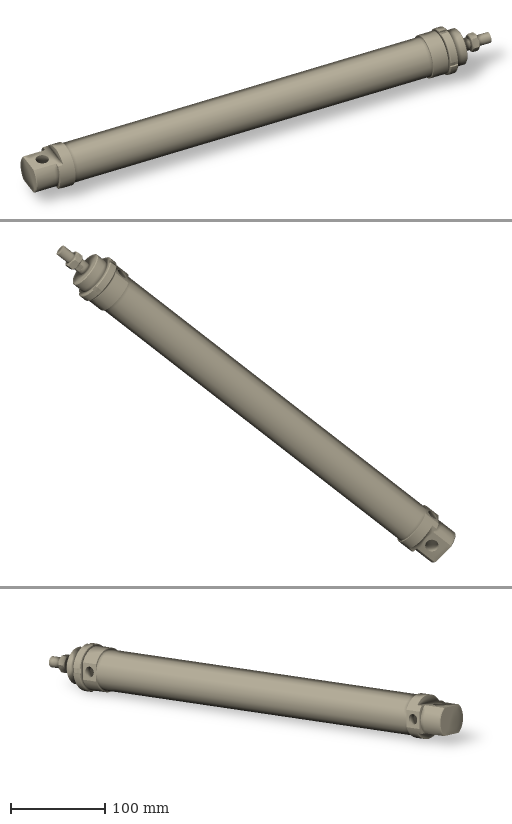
import cadquery as cq
import math

TOTAL_LENGTH = 544.0

CLEVIS_DIAMETER = 40.0
CLEVIS_THICKNESS = 30.5
CLEVIS_FLAT_END_Y = 32.0
PIN_HOLE_DIAMETER = 14.0
PIN_HOLE_Y = 16.5

BARREL_DIAMETER = 44.0
CAP_DIAMETER = 48.0
CAP_LENGTH = 18.0
REAR_CAP_Y = 26.0
FRONT_CAP_Y = 467.0
FRONT_CAP_END_Y = FRONT_CAP_Y + CAP_LENGTH

PORT_FLAT_X = -BARREL_DIAMETER / 2
PORT_DIAMETER = 11.5
PORT_DEPTH = 8.0

END_CHAMFER = 0.8

COLLAR_DIAMETER = 40.0
COLLAR_END_Y = 509.0
RELIEF_DIAMETER = 38.5
RELIEF_END_Y = 486.5

RING_NUT_DIAMETER = 51.5
RING_NUT_Y = RELIEF_END_Y
RING_NUT_WIDTH = 9.0
RING_SLOT_COUNT = 4
RING_SLOT_WIDTH = 5.5
RING_SLOT_DEPTH = 2.0
RING_CHAMFER = 0.8

ROD_DIAMETER = 14.0
THREAD_DIAMETER = 12.0
NECK_DIAMETER = 10.5
ROD_SHOULDER_Y = 519.0
WRENCH_FLAT_Y = 514.0
WRENCH_FLAT_WIDTH = THREAD_DIAMETER

HEX_SIDES = 6
HEX_NUT_ACROSS_FLATS = 18.0
HEX_NUT_Y = 520.5
HEX_NUT_WIDTH = 8.0
HEX_CHAMFER_ANGLE = 45.0


def cylinder(diameter, start_y, end_y):
    """Solid cylinder on the Y axis between two positions."""
    plane = cq.Workplane("XZ", origin=(0, start_y, 0))
    return plane.circle(diameter / 2).extrude(start_y - end_y)


def box(x_range, y_range, z_range):
    """Box given by its lower and upper limit along each axis."""
    lows, highs = zip(x_range, y_range, z_range)
    size = [high - low for low, high in zip(lows, highs)]
    return cq.Workplane("XY").box(*size, centered=False).translate(lows)


def cap_with_port(start_y):
    """End cap with a flat on its -X side and a blind port in the flat."""
    end_y = start_y + CAP_LENGTH
    cap = cylinder(CAP_DIAMETER, start_y, end_y)
    flat_cut = box(
        (-CAP_DIAMETER, PORT_FLAT_X), (start_y, end_y), (-CAP_DIAMETER, CAP_DIAMETER)
    )
    port_plane = cq.Workplane("YZ", origin=(PORT_FLAT_X, start_y + CAP_LENGTH / 2, 0))
    port = port_plane.circle(PORT_DIAMETER / 2).extrude(PORT_DEPTH)
    return cap.cut(flat_cut).cut(port)


def cut_clevis(housing):
    """Flatten the rear end on +Z and -Z and drill the pin hole through it."""
    for low, high in ((CLEVIS_THICKNESS / 2, CAP_DIAMETER), (-CAP_DIAMETER, -CLEVIS_THICKNESS / 2)):
        housing = housing.cut(
            box((-CAP_DIAMETER, CAP_DIAMETER), (0, CLEVIS_FLAT_END_Y), (low, high))
        )
    hole_plane = cq.Workplane("XY", origin=(0, PIN_HOLE_Y, 0))
    return housing.cut(hole_plane.circle(PIN_HOLE_DIAMETER / 2).extrude(CAP_DIAMETER, both=True))


def make_housing():
    """Clevis, end caps, barrel and front collar as one body."""
    clevis = cylinder(CLEVIS_DIAMETER, 0, REAR_CAP_Y).faces("<Y").chamfer(END_CHAMFER)
    relief = cylinder(RELIEF_DIAMETER, FRONT_CAP_END_Y, RELIEF_END_Y)
    collar = cylinder(COLLAR_DIAMETER, RELIEF_END_Y, COLLAR_END_Y)
    collar = collar.faces(">Y").chamfer(END_CHAMFER)
    housing = (
        clevis.union(cap_with_port(REAR_CAP_Y))
        .union(cylinder(BARREL_DIAMETER, REAR_CAP_Y + CAP_LENGTH, FRONT_CAP_Y))
        .union(cap_with_port(FRONT_CAP_Y))
        .union(relief)
        .union(collar)
    )
    return cut_clevis(housing)


def make_ring_nut():
    """Chamfered ring with slots across its rim."""
    end_y = RING_NUT_Y + RING_NUT_WIDTH
    ring = cylinder(RING_NUT_DIAMETER, RING_NUT_Y, end_y).faces("<Y or >Y").chamfer(RING_CHAMFER)
    ring = ring.cut(cylinder(COLLAR_DIAMETER, RING_NUT_Y, end_y))
    radius = RING_NUT_DIAMETER / 2
    slot = box(
        (radius - RING_SLOT_DEPTH, RING_NUT_DIAMETER),
        (RING_NUT_Y, end_y),
        (-RING_SLOT_WIDTH / 2, RING_SLOT_WIDTH / 2),
    )
    for index in range(RING_SLOT_COUNT):
        ring = ring.cut(slot.rotate((0, 0, 0), (0, 1, 0), index * 360 / RING_SLOT_COUNT))
    return ring


def make_rod():
    """Rod standing on the collar face, with wrench flats behind its threaded end."""
    flat_stretch = cylinder(ROD_DIAMETER, WRENCH_FLAT_Y, ROD_SHOULDER_Y)
    flats = box(
        (-ROD_DIAMETER, ROD_DIAMETER),
        (WRENCH_FLAT_Y, ROD_SHOULDER_Y),
        (-WRENCH_FLAT_WIDTH / 2, WRENCH_FLAT_WIDTH / 2),
    )
    return (
        cylinder(ROD_DIAMETER, COLLAR_END_Y, WRENCH_FLAT_Y)
        .union(flat_stretch.intersect(flats))
        .union(cylinder(NECK_DIAMETER, ROD_SHOULDER_Y, HEX_NUT_Y))
        .union(cylinder(THREAD_DIAMETER, HEX_NUT_Y, TOTAL_LENGTH))
    )


def make_hex_nut():
    """Hexagon nut with its corners chamfered at both ends."""
    end_y = HEX_NUT_Y + HEX_NUT_WIDTH
    across_corners = HEX_NUT_ACROSS_FLATS / math.cos(math.pi / HEX_SIDES)
    plane = cq.Workplane("XZ", origin=(0, HEX_NUT_Y, 0))
    nut = plane.polygon(HEX_SIDES, across_corners).extrude(-HEX_NUT_WIDTH)
    corner_radius = across_corners / 2
    face_radius = HEX_NUT_ACROSS_FLATS / 2
    chamfer_height = (corner_radius - face_radius) * math.tan(math.radians(HEX_CHAMFER_ANGLE))
    envelope = (
        cq.Workplane("XY")
        .moveTo(0, HEX_NUT_Y)
        .lineTo(face_radius, HEX_NUT_Y)
        .lineTo(corner_radius, HEX_NUT_Y + chamfer_height)
        .lineTo(corner_radius, end_y - chamfer_height)
        .lineTo(face_radius, end_y)
        .lineTo(0, end_y)
        .close()
        .revolve(360, (0, 0, 0), (0, 1, 0))
    )
    return nut.intersect(envelope).cut(cylinder(THREAD_DIAMETER, HEX_NUT_Y, end_y))


housing = make_housing()
ring_nut = make_ring_nut()
rod = make_rod()
hex_nut = make_hex_nut()

result = cq.Compound.makeCompound([housing.val(), ring_nut.val(), rod.val(), hex_nut.val()])